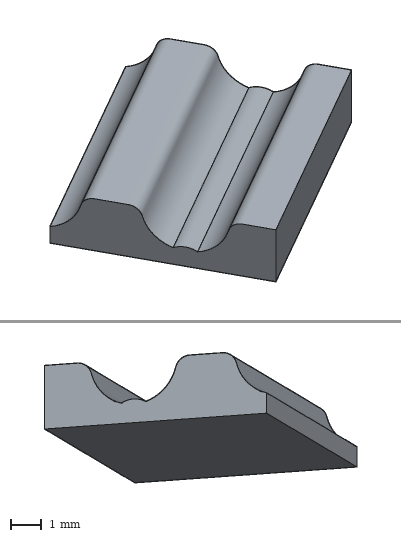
import cadquery as cq
import math

width = 7.65
length = 9.0
height = 2.12

groove_radius = 1.5
groove_pitch = 5.0
lip_radius = 0.5

rib_half_width = 0.414
rib_crest_z = 0.79

left_groove_x = -rib_half_width
right_groove_x = left_groove_x + groove_pitch

lip_center_offset = math.sqrt((groove_radius + lip_radius) ** 2 - lip_radius ** 2)
lip_angle = math.asin(lip_radius / (groove_radius + lip_radius))


def groove_point(axis_x, angle):
    """Point on the groove wall, angle measured below +X about the groove axis."""
    return (axis_x + groove_radius * math.cos(angle), height - groove_radius * math.sin(angle))


def lip_point(axis_x, side, angle):
    """Point on the lip rounding; side is +1 right or -1 left, angle measured above horizontal."""
    x = axis_x + side * (lip_center_offset - lip_radius * math.cos(angle))
    return (x, height - lip_radius + lip_radius * math.sin(angle))


rib_angle = math.acos(rib_half_width / groove_radius)
lip_mid_angle = (lip_angle + math.pi / 2) / 2
wall_mid_angle = (lip_angle + rib_angle) / 2


def add_right_wall(profile, axis_x):
    """Climb from the right end of the rib, round the lip, and reach the top."""
    return (
        profile
        .threePointArc(groove_point(axis_x, wall_mid_angle), groove_point(axis_x, lip_angle))
        .threePointArc(lip_point(axis_x, 1, lip_mid_angle), lip_point(axis_x, 1, math.pi / 2))
    )


def add_left_wall(profile, axis_x):
    """Go down from the top, round the lip, and reach the left end of the rib."""
    return (
        profile
        .lineTo(*lip_point(axis_x, -1, math.pi / 2))
        .threePointArc(lip_point(axis_x, -1, lip_mid_angle), groove_point(axis_x, math.pi - lip_angle))
        .threePointArc(
            groove_point(axis_x, math.pi - wall_mid_angle),
            groove_point(axis_x, math.pi - rib_angle),
        )
    )


def add_rib(profile, axis_x):
    """Cross the groove floor over the rounded rib."""
    return profile.threePointArc((axis_x, rib_crest_z), groove_point(axis_x, rib_angle))


profile = cq.Workplane("XZ", origin=(0, length, 0)).moveTo(0, 0)
profile = profile.lineTo(*groove_point(left_groove_x, rib_angle))
profile = add_right_wall(profile, left_groove_x)
profile = add_left_wall(profile, right_groove_x)
profile = add_rib(profile, right_groove_x)
profile = add_right_wall(profile, right_groove_x)
profile = profile.lineTo(width, height).lineTo(width, 0).close()

result = profile.extrude(length)